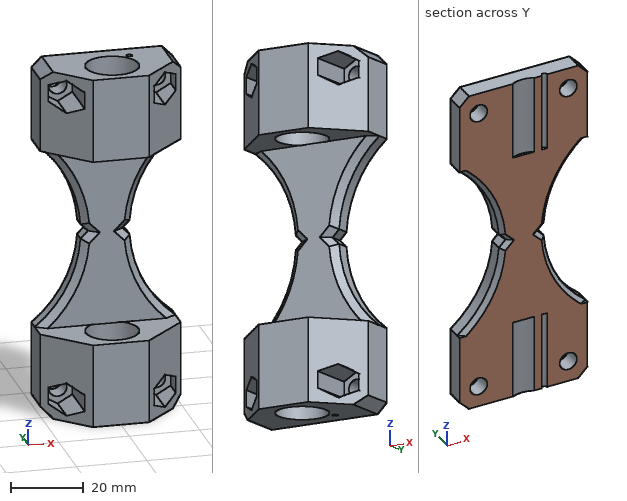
import cadquery as cq
import math

total_height = 102.0
width = 40.0
depth = 22.0

block_height = 24.1
side_depth = 10.0
corner_chamfer = 3.0
bore_diameter = 15.0
bore_y = -12.0
pin_hole_diameter = 1.6
pin_hole_x = 6.5
pin_hole_y = -5.3

screw_diameter = 5.2
screw_x = 14.0
screw_end_distance = 6.5
nut_across_flats = 8.3
nut_floor_depth = 6.0

plate_thickness = 6.0
plate_chamfer = 2.0
waist_half_width = 6.9
notch_half_width = 4.9

half_width = width / 2
half_height = total_height / 2
block_bottom = half_height - block_height
front_half_width = half_width - (depth - side_depth)
SIDES = (-1, 1)


def cylinder_along_y(radius, x, z):
    """Cylinder running through the full depth of the part."""
    return cq.Workplane("XZ", origin=(x, 0, z)).circle(radius).extrude(depth)


def cylinder_along_z(radius, x, y):
    """Cylinder running through the full height of the upper block."""
    return cq.Workplane("XY", origin=(x, y, block_bottom)).circle(radius).extrude(block_height)


def make_upper_block():
    outline = [
        (-half_width, 0),
        (half_width, 0),
        (half_width, -side_depth),
        (front_half_width, -depth),
        (-front_half_width, -depth),
        (-half_width, -side_depth),
    ]
    block = cq.Workplane("XY", origin=(0, 0, block_bottom)).polyline(outline).close().extrude(block_height)
    block = block.intersect(make_chamfered_envelope())

    bore = cylinder_along_z(bore_diameter / 2, 0, bore_y)
    pin_hole = cylinder_along_z(pin_hole_diameter / 2, pin_hole_x, pin_hole_y)
    block = block.cut(bore).cut(pin_hole)

    screw_z = half_height - screw_end_distance
    nut_corner_diameter = nut_across_flats / math.cos(math.pi / 6)
    for side in SIDES:
        block = block.cut(cylinder_along_y(screw_diameter / 2, side * screw_x, screw_z))
        nut_pocket = (
            cq.Workplane("XZ", origin=(side * screw_x, -nut_floor_depth, screw_z))
            .transformed(rotate=(0, 0, 90))
            .polygon(6, nut_corner_diameter)
            .extrude(depth)
        )
        block = block.cut(nut_pocket)
    return block


def make_chamfered_envelope():
    """Box around the whole part with its four outer corners cut at 45 degrees."""
    return (
        cq.Workplane("XZ")
        .rect(width, total_height)
        .extrude(depth)
        .edges("|Y")
        .chamfer(corner_chamfer)
    )


def make_waist_cutter(radius):
    """Round cutter for the right side, widening to a cone at the front face."""
    straight_depth = plate_thickness - plate_chamfer
    center_x = waist_half_width + radius
    return (
        cq.Workplane("XY", origin=(center_x, 0, 0))
        .polyline([
            (0, 0),
            (radius, 0),
            (radius, -straight_depth),
            (radius + plate_chamfer, -plate_thickness),
            (0, -plate_thickness),
        ])
        .close()
        .revolve(360, (0, 0, 0), (0, 1, 0))
    )


def make_notch_cutter():
    """Square V cutter for the right side, widening at the front face."""
    straight_depth = plate_thickness - plate_chamfer
    reach = half_width - notch_half_width
    wide_reach = reach + plate_chamfer * math.sqrt(2)

    def diamond(plane, size):
        return plane.polyline([(size, 0), (0, size), (-size, 0), (0, -size)]).close()

    straight = diamond(cq.Workplane("XZ", origin=(half_width, 0, 0)), reach).extrude(straight_depth)
    flare_start = cq.Workplane("XZ", origin=(half_width, -straight_depth, 0))
    flare_end = diamond(flare_start, reach).workplane(offset=plate_chamfer)
    flare = diamond(flare_end, wide_reach).loft(ruled=True)
    return straight.union(flare)


def make_plate():
    plate = cq.Workplane("XZ").rect(width, 2 * block_bottom).extrude(plate_thickness)

    inset = half_width - waist_half_width
    waist_radius = (inset**2 + block_bottom**2) / (2 * inset)
    for cutter in (make_waist_cutter(waist_radius), make_notch_cutter()):
        plate = plate.cut(cutter).cut(cutter.mirror("YZ"))
    return plate


upper_block = make_upper_block()
lower_block = upper_block.mirror("XY")
result = make_plate().union(upper_block).union(lower_block)